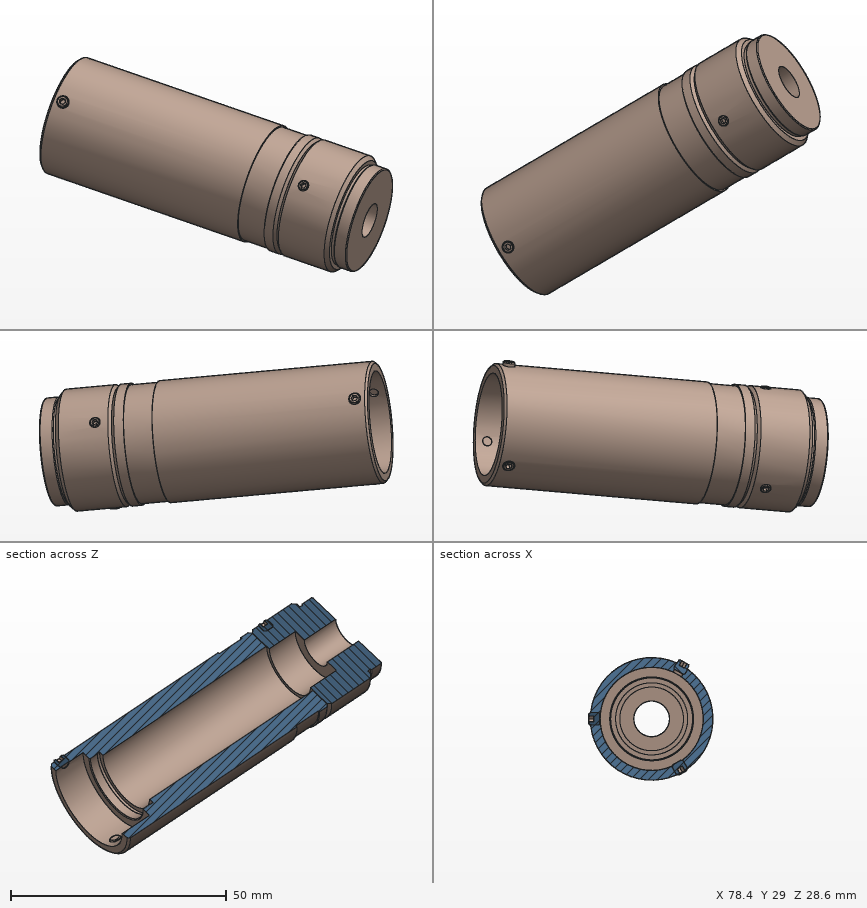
import cadquery as cq
import math

OUTER_RADIUS = 28.55 / 2
TUBE_FRONT_CHAMFER = 0.55
RELIEF_START = 51.2
RELIEF_END = 58.0
RELIEF_RADIUS = 27.8 / 2
JOINT_X = 61.0
JOINT_CHAMFER = 0.7
SHOULDER_X = 74.4
SHOULDER_CHAMFER = 0.95
NECK_RADIUS = 24.6 / 2
FLANGE_START = 75.1
FLANGE_RADIUS = 25.25 / 2
FLANGE_CHAMFER = 0.2
TOTAL_LENGTH = 78.4

FRONT_BORE_RADIUS = 23.9 / 2
FRONT_BORE_DEPTH = 8.2
SEAT_RADIUS = 19.05 / 2
SEAT_CHAMFER = 0.2
SEAT_END = 11.3
UNDERCUT_START = 10.6
UNDERCUT_RADIUS = 19.2 / 2
MAIN_BORE_RADIUS = 16.8 / 2
RECESS_RADIUS = 14.8 / 2
RECESS_DEPTH = 7.85
REAR_HOLE_RADIUS = 8.2 / 2

SCREW_ANGLES = [0, 120, 240]
SCREW_LENGTH = 2.6
SCREW_CHAMFER = 0.2
SCREW_TIP_CHAMFER = 0.3
SOCKET_DEPTH = 1.2
FRONT_SCREW_X = 2.9
FRONT_SCREW_RADIUS = 2.8 / 2
FRONT_SCREW_TOPS = [14.7, 15.2, 14.3]
FRONT_SOCKET_WIDTH = 1.3
REAR_SCREW_X = 64.8
REAR_SCREW_RADIUS = 2.5 / 2
REAR_SCREW_TOP = 14.5
REAR_SOCKET_WIDTH = 1.2


def turned(profile):
    """Revolve a closed (x, radius) profile about the X axis."""
    return cq.Workplane("XY").polyline(profile).close().revolve(360, (0, 0, 0), (1, 0, 0))


def rod(radius, inner_end, outer_end):
    """Cylinder along +Z between two distances from the origin."""
    return cq.Workplane("XY").workplane(offset=inner_end).circle(radius).extrude(outer_end - inner_end)


def place_radially(body, x, angle):
    """Move a body built along +Z to position x and turn its axis to the given angle from +Y."""
    return body.rotate((0, 0, 0), (1, 0, 0), angle - 90).translate((x, 0, 0))


def make_set_screw(radius, top, socket_width):
    """Headless screw along +Z with a hexagon socket in its outer end and a chamfered tip."""
    screw = rod(radius, top - SCREW_LENGTH, top)
    screw = screw.faces(">Z").chamfer(SCREW_CHAMFER).faces("<Z").chamfer(SCREW_TIP_CHAMFER)
    socket_corner_width = socket_width / math.cos(math.pi / 6)
    socket = (
        cq.Workplane("XY")
        .workplane(offset=top - SOCKET_DEPTH)
        .polygon(6, socket_corner_width)
        .extrude(SOCKET_DEPTH)
    )
    return screw.cut(socket)


def make_screw_hole(radius, top):
    """Cutter along +Z that fits the screw's side and tip and opens to the outside."""
    hole = rod(radius, top - SCREW_LENGTH, OUTER_RADIUS + SCREW_LENGTH)
    return hole.faces("<Z").chamfer(SCREW_TIP_CHAMFER)


def make_tube():
    tube = turned([
        (0, FRONT_BORE_RADIUS),
        (0, OUTER_RADIUS - TUBE_FRONT_CHAMFER),
        (TUBE_FRONT_CHAMFER, OUTER_RADIUS),
        (RELIEF_START, OUTER_RADIUS),
        (RELIEF_START, RELIEF_RADIUS),
        (RELIEF_END, RELIEF_RADIUS),
        (RELIEF_END, OUTER_RADIUS),
        (JOINT_X - JOINT_CHAMFER, OUTER_RADIUS),
        (JOINT_X, OUTER_RADIUS - JOINT_CHAMFER),
        (JOINT_X, MAIN_BORE_RADIUS),
        (SEAT_END, MAIN_BORE_RADIUS),
        (SEAT_END, UNDERCUT_RADIUS),
        (UNDERCUT_START, UNDERCUT_RADIUS),
        (UNDERCUT_START, SEAT_RADIUS),
        (FRONT_BORE_DEPTH + SEAT_CHAMFER, SEAT_RADIUS),
        (FRONT_BORE_DEPTH, SEAT_RADIUS + SEAT_CHAMFER),
        (FRONT_BORE_DEPTH, FRONT_BORE_RADIUS),
    ])
    tip_hole = rod(FRONT_SCREW_RADIUS - SCREW_TIP_CHAMFER, MAIN_BORE_RADIUS, OUTER_RADIUS)
    for angle, top in zip(SCREW_ANGLES, FRONT_SCREW_TOPS):
        hole = make_screw_hole(FRONT_SCREW_RADIUS, top).union(tip_hole)
        tube = tube.cut(place_radially(hole, FRONT_SCREW_X, angle))
    return tube


def make_end_cap():
    recess_end = JOINT_X + RECESS_DEPTH
    cap = turned([
        (JOINT_X, RECESS_RADIUS),
        (JOINT_X, OUTER_RADIUS - JOINT_CHAMFER),
        (JOINT_X + JOINT_CHAMFER, OUTER_RADIUS),
        (SHOULDER_X - SHOULDER_CHAMFER, OUTER_RADIUS),
        (SHOULDER_X, OUTER_RADIUS - SHOULDER_CHAMFER),
        (SHOULDER_X, NECK_RADIUS),
        (FLANGE_START, NECK_RADIUS),
        (FLANGE_START, FLANGE_RADIUS - FLANGE_CHAMFER),
        (FLANGE_START + FLANGE_CHAMFER, FLANGE_RADIUS),
        (TOTAL_LENGTH - FLANGE_CHAMFER, FLANGE_RADIUS),
        (TOTAL_LENGTH, FLANGE_RADIUS - FLANGE_CHAMFER),
        (TOTAL_LENGTH, REAR_HOLE_RADIUS),
        (recess_end, REAR_HOLE_RADIUS),
        (recess_end, RECESS_RADIUS),
    ])
    for angle in SCREW_ANGLES:
        hole = make_screw_hole(REAR_SCREW_RADIUS, REAR_SCREW_TOP)
        cap = cap.cut(place_radially(hole, REAR_SCREW_X, angle))
    return cap


def make_screw_set(x, radius, tops, socket_width):
    """One separate screw at each angle around a body."""
    screws = []
    for angle, top in zip(SCREW_ANGLES, tops):
        screw = make_set_screw(radius, top, socket_width)
        screws.append(place_radially(screw, x, angle).val())
    return screws


tube = make_tube()
end_cap = make_end_cap()
front_screws = make_screw_set(FRONT_SCREW_X, FRONT_SCREW_RADIUS, FRONT_SCREW_TOPS, FRONT_SOCKET_WIDTH)
rear_screw_tops = [REAR_SCREW_TOP] * len(SCREW_ANGLES)
rear_screws = make_screw_set(REAR_SCREW_X, REAR_SCREW_RADIUS, rear_screw_tops, REAR_SOCKET_WIDTH)

result = cq.Compound.makeCompound([tube.val(), end_cap.val(), *front_screws, *rear_screws])